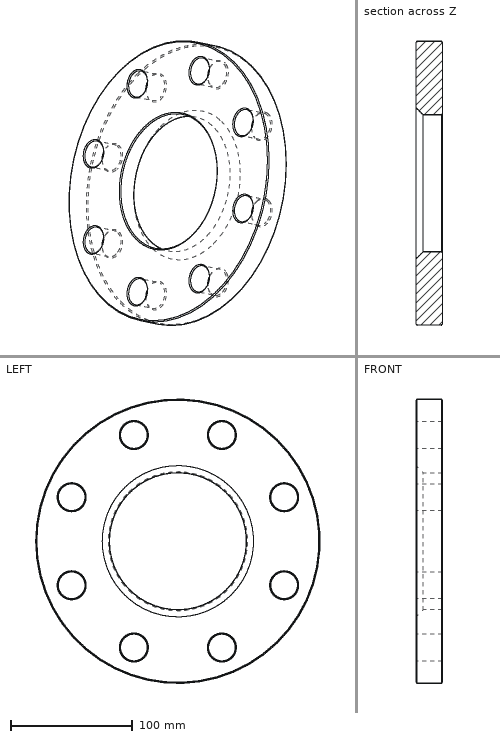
import cadquery as cq

outer_diameter = 235.0
thickness = 22.0
edge_chamfer = 1.0

bore_diameter = 113.0
bore_lead_in = 6.0

bolt_count = 8
bolt_circle_diameter = 190.0
bolt_hole_diameter = 22.0


def flange_disc():
    """Solid disc with both rim edges chamfered."""
    disc = cq.Workplane("YZ").circle(outer_diameter / 2).extrude(thickness)
    return disc.edges("%CIRCLE").chamfer(edge_chamfer)


def hole_cutter(diameter, near_chamfer, far_chamfer):
    """Through hole on the X axis with 45 degree chamfers at X = 0 and at X = thickness."""
    radius = diameter / 2
    half_profile = (
        cq.Workplane("XY")
        .moveTo(0, 0)
        .lineTo(0, radius + near_chamfer)
        .lineTo(near_chamfer, radius)
        .lineTo(thickness - far_chamfer, radius)
        .lineTo(thickness, radius + far_chamfer)
        .lineTo(thickness, 0)
        .close()
    )
    return half_profile.revolve(360, (0, 0, 0), (1, 0, 0))


def cut_bore(body):
    """Central bore with a wide conical lead-in at X = 0."""
    return body.cut(hole_cutter(bore_diameter, bore_lead_in, edge_chamfer))


def cut_bolt_holes(body):
    """Bolt holes straddling the Y and Z axes, half a pitch to either side."""
    pitch_angle = 360.0 / bolt_count
    cutter = hole_cutter(bolt_hole_diameter, edge_chamfer, edge_chamfer)
    cutter = cutter.translate((0, bolt_circle_diameter / 2, 0))
    for index in range(bolt_count):
        angle = (index + 0.5) * pitch_angle
        body = body.cut(cutter.rotate((0, 0, 0), (1, 0, 0), angle))
    return body


result = cut_bolt_holes(cut_bore(flange_disc()))